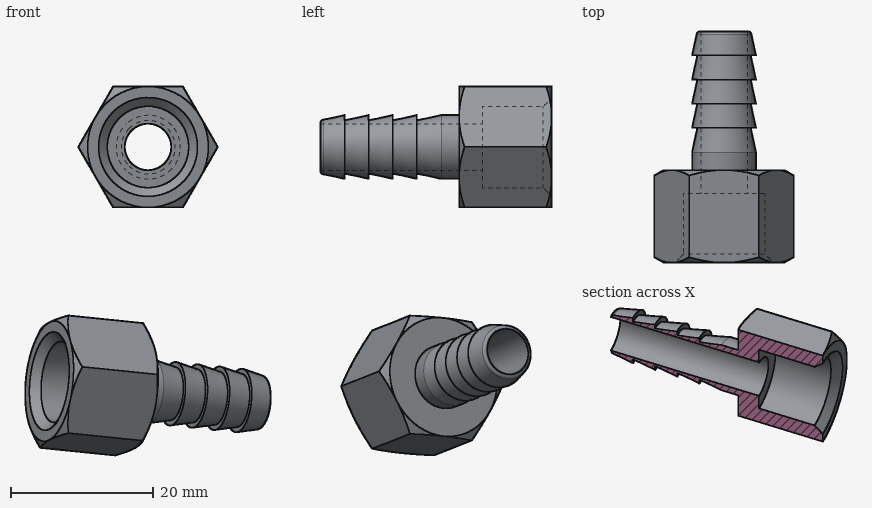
import cadquery as cq
import math

length = 32.5
hex_length = 13.0
across_flats = 17.0
corner_chamfer_angle = 30.0

tail_diameter = 9.0
barb_root_diameter = 7.55
collar_length = 2.55
barb_count = 5
tip_rounding = 0.5

through_diameter = 6.5
socket_diameter = 11.45
socket_mouth_diameter = 13.9
socket_depth = 9.75
mouth_chamfer_angle = 45.0

hexagon_half_angle = math.pi / 6
across_corners = across_flats / math.cos(hexagon_half_angle)
barb_pitch = (length - hex_length - collar_length) / barb_count


def revolve_about_y(profile):
    """Turn a closed (radius, Y) profile around the Y axis."""
    return profile.close().revolve(360, (0, 0, 0), (0, 1, 0))


def make_hexagon():
    """Hexagonal body with its corners turned down conically at both ends."""
    prism = (
        cq.Workplane("XZ")
        .polygon(6, across_corners)
        .extrude(-hex_length)
    )
    flat_radius = across_flats / 2
    corner_radius = across_corners / 2
    chamfer_height = (corner_radius - flat_radius) * math.tan(math.radians(corner_chamfer_angle))
    envelope = revolve_about_y(
        cq.Workplane("XY")
        .lineTo(flat_radius, 0)
        .lineTo(corner_radius, chamfer_height)
        .lineTo(corner_radius, hex_length - chamfer_height)
        .lineTo(flat_radius, hex_length)
        .lineTo(0, hex_length)
    )
    return prism.intersect(envelope)


def make_hose_tail():
    """Plain collar followed by barbs that taper towards the tip."""
    crest_radius = tail_diameter / 2
    root_radius = barb_root_diameter / 2
    first_barb = hex_length + collar_length
    profile = cq.Workplane("XY").moveTo(0, 0).lineTo(crest_radius, 0)
    for index in range(barb_count):
        barb_start = first_barb + index * barb_pitch
        profile = profile.lineTo(crest_radius, barb_start)
        profile = profile.lineTo(root_radius, barb_start + barb_pitch)
    tail = revolve_about_y(profile.lineTo(0, length))
    return tail.faces(">Y").edges().fillet(tip_rounding)


def make_bore():
    """Through hole opening into a wider socket with a chamfered mouth."""
    through_radius = through_diameter / 2
    socket_radius = socket_diameter / 2
    mouth_radius = socket_mouth_diameter / 2
    mouth_depth = (mouth_radius - socket_radius) / math.tan(math.radians(mouth_chamfer_angle))
    return revolve_about_y(
        cq.Workplane("XY")
        .lineTo(mouth_radius, 0)
        .lineTo(socket_radius, mouth_depth)
        .lineTo(socket_radius, socket_depth)
        .lineTo(through_radius, socket_depth)
        .lineTo(through_radius, length)
        .lineTo(0, length)
    )


result = make_hexagon().union(make_hose_tail()).cut(make_bore())